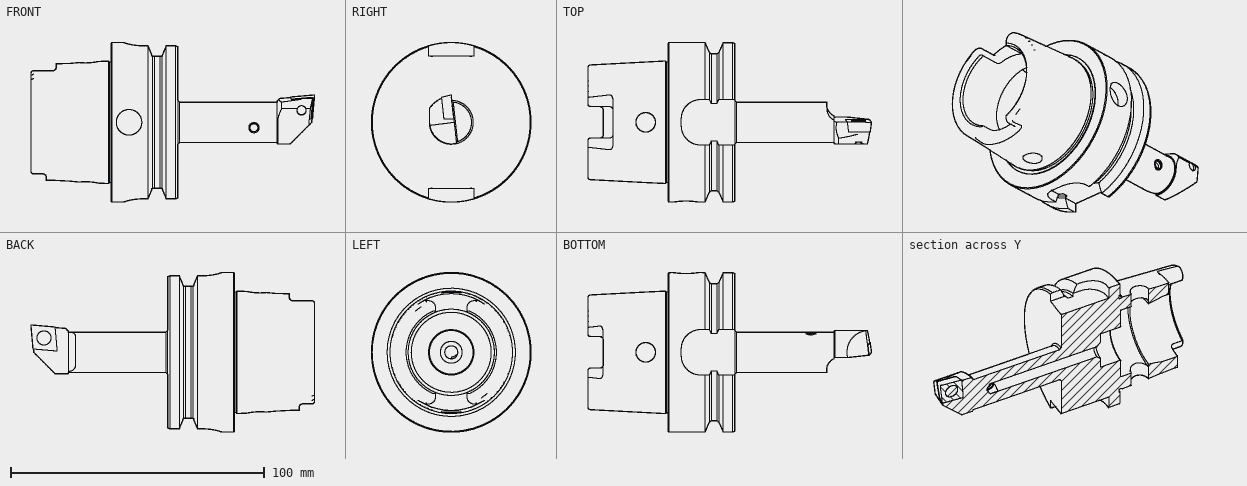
import cadquery as cq
import math


TAPER_TIP_RADIUS = 22.6
TAPER_ROOT_RADIUS = 24.2
TAPER_LENGTH = 29.7
ROOT_BAND_END_X = 30.7
TIP_ROUNDING = 1.1
UNDERCUT_DEPTH = 0.3
UNDERCUT_RADIUS = TAPER_ROOT_RADIUS - UNDERCUT_DEPTH
FACE_RECESS_RADIUS = 25.3
FACE_RECESS_DEPTH = 0.3

FLANGE_X = 31.7
FLANGE_END_X = 58.0
FLANGE_RADIUS = 31.5
FLANGE_FRONT_CHAMFER = 0.3
FLANGE_BACK_CHAMFER_LENGTH = 0.9
FLANGE_BACK_CHAMFER_DEPTH = 0.3
GROOVE_FRONT_X = 46.2
GROOVE_BACK_X = 53.4
GROOVE_FLANK_RADIUS = 27.6
GROOVE_RADIUS = 27.1
GROOVE_FLANK_LENGTH = 1.7
GROOVE_CORNER_LENGTH = 0.8

BAR_RADIUS = 8.0
BAR_ROOT_CHAMFER = 0.7

BORE_RADIUS = 17.0
BORE_MOUTH_CHAMFER = 0.8
BORE_CYLINDER_END_X = 12.5
CLAMP_GROOVE_RADIUS = 17.3
LIP_RADIUS = 15.8
LIP_X = 19.0
CAVITY_FLOOR_X = 31.3
COUPLING_RADIUS = 8.6
COUPLING_CHAMFER = 0.3
COUPLING_DEPTH = 9.0
COOLANT_MOUTH_RADIUS = 4.31
COOLANT_RADIUS = 2.6
COOLANT_END_X = 89.5
DRILL_POINT_RATIO = 0.6

SLOT_HALF_WIDTH = 6.2
SLOT_SHOULDER_Z = 20.4
SLOT_SHOULDER_ROUNDING = 2.9
SLOT_SHOULDER_HALF_WIDTH = 13.4
SLOT_OUTER_Z = 28.0
SLOT_FLOOR_ROUNDING = 1.3
TOP_SLOT_DEPTH = 10.0
BOTTOM_SLOT_DEPTH = 6.0

CROSS_HOLE_X = 22.8
CROSS_HOLE_RADIUS = 3.8
CHIP_HOLE_X = 38.7
CHIP_HOLE_RADIUS = 5.0
CHIP_HOLE_DEPTH = 4.9
KEYWAY_X = 36.8
KEYWAY_HALF_WIDTH = 9.0
KEYWAY_CORNER_RADIUS = 7.6
KEYWAY_FLOOR_Z = 26.1

HEAD_X = 97.1
HEAD_RADIUS = 8.6
HEAD_START_RADIUS = 8.4
HEAD_CROWN_RADIUS = 10.2
HEAD_SETBACK = 0.2
NOSE_DIAGONAL = 110.8
CHIP_POCKET_X = 94.2
CHIP_POCKET_RADIUS = 5.0

OVERALL_LENGTH = 111.9
TIP_Z = 10.9
RAKE_TILT = 6.3
CLEARANCE = 7.0
INSERT_SIDE = 9.6
INSERT_THICKNESS = 3.9
NOSE_RADIUS = 0.3
INSERT_HALF_ANGLE = 40.0
EDGE_LEAN = 45 - INSERT_HALF_ANGLE
TIP_X = OVERALL_LENGTH + NOSE_RADIUS * (math.sqrt(0.5) / math.sin(math.radians(INSERT_HALF_ANGLE)) - 1)

SCREW_RADIUS = 1.8
SCREW_HEAD_RADIUS = 2.8
SCREW_HEAD_HEIGHT = 1.7
SCREW_LENGTH = 8.1
SCREW_HEAD_SINK = 0.2

NOZZLE_X = 88.0
NOZZLE_Z = -2.1
NOZZLE_RADIUS = 2.0
NOZZLE_BORE_RADIUS = 1.6
NOZZLE_OUTER_Y = -7.4
NOZZLE_LENGTH = 3.4
BALL_SINK = 0.2

tilt = math.radians(RAKE_TILT)
lean = math.radians(EDGE_LEAN)
rake = cq.Plane(
    origin=(TIP_X, 0, TIP_Z),
    xDir=(1, 0, 0),
    normal=(0, -math.cos(tilt), -math.sin(tilt)),
)


def revolve_about_x(points):
    """Solid of revolution from (x, radius) points; the outline closes along the axis."""
    outline = [(points[0][0], 0)] + points
    if points[-1][1] > 0:
        outline.append((points[-1][0], 0))
    return cq.Workplane("XY").polyline(outline).close().revolve(360, (0, 0, 0), (1, 0, 0))


def y_cylinder(x, y, z, radius, length):
    """Cylinder starting at the given point and running toward +Y."""
    return cq.Workplane(cq.Plane((x, y, z), (1, 0, 0), (0, 1, 0))).circle(radius).extrude(length)


def rhombus_wedge(side, depth, setback=0.0):
    """Rhombus on the rake face with one corner near the tip, narrowing with depth."""
    run = side * math.cos(lean)
    drop = side * math.sin(lean)
    corners = [
        (-setback, -setback),
        (-setback - run, -setback - drop),
        (-setback - run - drop, -setback - drop - run),
        (-setback - drop, -setback - run),
    ]
    return cq.Workplane(rake).polyline(corners).close().extrude(depth, taper=CLEARANCE)


def make_outer_form():
    """Taper shank and flange, with the drive slots cut and the shank tip rounded."""
    shank = revolve_about_x([
        (0, TAPER_TIP_RADIUS),
        (TAPER_LENGTH, TAPER_ROOT_RADIUS),
        (ROOT_BAND_END_X, TAPER_ROOT_RADIUS),
        (ROOT_BAND_END_X + UNDERCUT_DEPTH, UNDERCUT_RADIUS),
        (FLANGE_X + FACE_RECESS_DEPTH, UNDERCUT_RADIUS),
    ])
    groove_front = GROOVE_FRONT_X + GROOVE_FLANK_LENGTH
    groove_back = GROOVE_BACK_X - GROOVE_FLANK_LENGTH
    flange = revolve_about_x([
        (FLANGE_X + FACE_RECESS_DEPTH, FACE_RECESS_RADIUS),
        (FLANGE_X, FACE_RECESS_RADIUS),
        (FLANGE_X, FLANGE_RADIUS - FLANGE_FRONT_CHAMFER),
        (FLANGE_X + FLANGE_FRONT_CHAMFER, FLANGE_RADIUS),
        (GROOVE_FRONT_X, FLANGE_RADIUS),
        (groove_front, GROOVE_FLANK_RADIUS),
        (groove_front + GROOVE_CORNER_LENGTH, GROOVE_RADIUS),
        (groove_back - GROOVE_CORNER_LENGTH, GROOVE_RADIUS),
        (groove_back, GROOVE_FLANK_RADIUS),
        (GROOVE_BACK_X, FLANGE_RADIUS),
        (FLANGE_END_X - FLANGE_BACK_CHAMFER_LENGTH, FLANGE_RADIUS),
        (FLANGE_END_X, FLANGE_RADIUS - FLANGE_BACK_CHAMFER_DEPTH),
    ])
    blank = shank.union(flange)
    blank = blank.cut(make_drive_slot(TOP_SLOT_DEPTH))
    blank = blank.cut(make_drive_slot(BOTTOM_SLOT_DEPTH).rotate((0, 0, 0), (1, 0, 0), 180))
    return blank.faces("<X").edges().fillet(TIP_ROUNDING)


def make_bar():
    return revolve_about_x([
        (FLANGE_END_X, BAR_RADIUS + BAR_ROOT_CHAMFER),
        (FLANGE_END_X + BAR_ROOT_CHAMFER, BAR_RADIUS),
        (HEAD_X, BAR_RADIUS),
    ])


def make_cavity():
    """Shank bore with its clamping lip, coupling recess and drilled coolant passage."""
    coupling_floor_x = CAVITY_FLOOR_X + COUPLING_DEPTH
    coolant_x = coupling_floor_x + COOLANT_MOUTH_RADIUS - COOLANT_RADIUS
    return revolve_about_x([
        (0, BORE_RADIUS + BORE_MOUTH_CHAMFER),
        (BORE_MOUTH_CHAMFER, BORE_RADIUS),
        (BORE_CYLINDER_END_X, BORE_RADIUS),
        (LIP_X, LIP_RADIUS),
        (LIP_X, CLAMP_GROOVE_RADIUS),
        (CAVITY_FLOOR_X, CLAMP_GROOVE_RADIUS),
        (CAVITY_FLOOR_X, COUPLING_RADIUS + COUPLING_CHAMFER),
        (CAVITY_FLOOR_X + COUPLING_CHAMFER, COUPLING_RADIUS),
        (coupling_floor_x, COUPLING_RADIUS),
        (coupling_floor_x, COOLANT_MOUTH_RADIUS),
        (coolant_x, COOLANT_RADIUS),
        (COOLANT_END_X, COOLANT_RADIUS),
        (COOLANT_END_X + COOLANT_RADIUS * DRILL_POINT_RATIO, 0),
    ])


def make_drive_slot(depth):
    """Slot cutter on the +Z side; its walls flare into shoulders with rounded lug corners."""
    lug_z = SLOT_SHOULDER_Z - SLOT_SHOULDER_ROUNDING
    lug_y = SLOT_HALF_WIDTH + SLOT_SHOULDER_ROUNDING
    diagonal = SLOT_SHOULDER_ROUNDING * math.sqrt(0.5)
    middle_z = lug_z + diagonal
    middle_y = lug_y - diagonal
    cutter = (
        cq.Workplane("YZ")
        .moveTo(-SLOT_HALF_WIDTH, 0)
        .lineTo(SLOT_HALF_WIDTH, 0)
        .lineTo(SLOT_HALF_WIDTH, lug_z)
        .threePointArc((middle_y, middle_z), (lug_y, SLOT_SHOULDER_Z))
        .lineTo(SLOT_SHOULDER_HALF_WIDTH, SLOT_SHOULDER_Z)
        .lineTo(SLOT_SHOULDER_HALF_WIDTH, SLOT_OUTER_Z)
        .lineTo(-SLOT_SHOULDER_HALF_WIDTH, SLOT_OUTER_Z)
        .lineTo(-SLOT_SHOULDER_HALF_WIDTH, SLOT_SHOULDER_Z)
        .lineTo(-lug_y, SLOT_SHOULDER_Z)
        .threePointArc((-middle_y, middle_z), (-SLOT_HALF_WIDTH, lug_z))
        .close()
        .extrude(depth)
    )
    return cutter.faces(">X").edges("not(<Z or >Z)").fillet(SLOT_FLOOR_ROUNDING)


def make_keyway():
    """Flat-bottomed keyway cutter on the +Z side, open at the back of the flange."""
    length = FLANGE_END_X - KEYWAY_X
    return (
        cq.Workplane("XY", origin=(0, 0, KEYWAY_FLOOR_Z))
        .center(KEYWAY_X + length / 2, 0)
        .rect(length, 2 * KEYWAY_HALF_WIDTH)
        .extrude(FLANGE_RADIUS)
        .edges("|Z and <X")
        .fillet(KEYWAY_CORNER_RADIUS)
    )


def make_head():
    """Cutting head before its insert seat: a bar section swept along X and bevelled all round."""
    side_z = math.sqrt(HEAD_CROWN_RADIUS**2 - HEAD_RADIUS**2)
    section = (
        cq.Workplane("YZ", origin=(HEAD_X, 0, 0))
        .moveTo(-HEAD_RADIUS, 0)
        .lineTo(-HEAD_RADIUS, side_z)
        .threePointArc((0, HEAD_CROWN_RADIUS), (HEAD_RADIUS, side_z))
        .lineTo(HEAD_RADIUS, 0)
        .threePointArc((0, -HEAD_RADIUS), (-HEAD_RADIUS, 0))
        .close()
        .extrude(TIP_X - HEAD_X)
    )
    growth = TIP_X - HEAD_X
    start_cone = revolve_about_x([(HEAD_X, HEAD_START_RADIUS), (TIP_X, HEAD_START_RADIUS + growth)])
    reach = 4 * HEAD_RADIUS
    clearance_form = rhombus_wedge(reach, reach / 2, HEAD_SETBACK)
    bevel = (
        cq.Workplane("XZ", origin=(0, reach, 0))
        .polyline([
            (NOSE_DIAGONAL - reach, -reach),
            (NOSE_DIAGONAL + reach, reach),
            (NOSE_DIAGONAL + reach, -reach),
        ])
        .close()
        .extrude(2 * reach)
    )
    return section.intersect(start_cone).intersect(clearance_form).cut(bevel)


def make_chip_pocket():
    """Clears everything in front of the rake face, with a rounded run-out into the bar."""
    reach = 4 * HEAD_RADIUS
    start = CHIP_POCKET_X - TIP_X
    return (
        cq.Workplane(rake)
        .center(start + reach / 2, 0)
        .rect(reach, 2 * reach)
        .extrude(-reach)
        .edges(cq.selectors.NearestToPointSelector((CHIP_POCKET_X, 0, TIP_Z)))
        .fillet(CHIP_POCKET_RADIUS)
    )


def insert_middle():
    """Middle of the insert on the rake face, in rake frame coordinates."""
    offset = INSERT_SIDE * (math.cos(lean) + math.sin(lean)) / 2
    return (-offset, -offset, 0)


def make_insert_screw():
    """Countersunk screw square to the rake face, through the middle of the insert."""
    start = rake.toWorldCoords(insert_middle()) + rake.zDir * SCREW_HEAD_SINK
    head = cq.Solid.makeCone(SCREW_HEAD_RADIUS, SCREW_RADIUS, SCREW_HEAD_HEIGHT, start, rake.zDir)
    stem = cq.Solid.makeCylinder(SCREW_RADIUS, SCREW_LENGTH, start, rake.zDir)
    return cq.Workplane(head).union(cq.Workplane(stem))


def make_screw_hole():
    """Clearance for the screw: countersunk from the rake face and right through the head."""
    start = rake.toWorldCoords(insert_middle())
    sunk = start + rake.zDir * SCREW_HEAD_SINK
    mouth = cq.Solid.makeCylinder(SCREW_HEAD_RADIUS, SCREW_HEAD_SINK, start, rake.zDir)
    countersink = cq.Solid.makeCone(SCREW_HEAD_RADIUS, SCREW_RADIUS, SCREW_HEAD_HEIGHT, sunk, rake.zDir)
    through = cq.Solid.makeCylinder(SCREW_RADIUS, 2 * SCREW_LENGTH, start, rake.zDir)
    return cq.Workplane(mouth).union(cq.Workplane(countersink)).union(cq.Workplane(through))


def make_insert_blank():
    """Insert without its screw hole, with all four corners rounded."""
    corner_edges = cq.selectors.InverseSelector(cq.selectors.PerpendicularDirSelector(rake.zDir))
    return rhombus_wedge(INSERT_SIDE, INSERT_THICKNESS).edges(corner_edges).fillet(NOSE_RADIUS)


def make_holder(insert_blank):
    """Shank, flange, bar and head in one piece, with every hole and seat cut."""
    holder = make_outer_form().union(make_bar()).union(make_head())
    holder = holder.cut(make_cavity())
    keyway = make_keyway()
    holder = holder.cut(keyway).cut(keyway.rotate((0, 0, 0), (1, 0, 0), 180))
    cross_hole = cq.Workplane("XY", origin=(CROSS_HOLE_X, 0, -FLANGE_RADIUS))
    holder = holder.cut(cross_hole.circle(CROSS_HOLE_RADIUS).extrude(2 * FLANGE_RADIUS))
    holder = holder.cut(y_cylinder(CHIP_HOLE_X, -FLANGE_RADIUS, 0, CHIP_HOLE_RADIUS, CHIP_HOLE_DEPTH))
    holder = holder.cut(y_cylinder(NOZZLE_X, -BAR_RADIUS, NOZZLE_Z, NOZZLE_RADIUS, BAR_RADIUS))
    return holder.cut(make_chip_pocket()).cut(insert_blank).cut(make_screw_hole())


def make_nozzle_sleeve():
    outer = y_cylinder(NOZZLE_X, NOZZLE_OUTER_Y, NOZZLE_Z, NOZZLE_RADIUS, NOZZLE_LENGTH)
    return outer.cut(y_cylinder(NOZZLE_X, NOZZLE_OUTER_Y, NOZZLE_Z, NOZZLE_BORE_RADIUS, NOZZLE_LENGTH))


def make_nozzle_ball():
    center_y = NOZZLE_OUTER_Y + BALL_SINK + NOZZLE_BORE_RADIUS
    ball = cq.Workplane("XY").sphere(NOZZLE_BORE_RADIUS)
    return ball.translate((NOZZLE_X, center_y, NOZZLE_Z))


insert_blank = make_insert_blank()
insert = insert_blank.cut(make_screw_hole())
insert_screw = make_insert_screw()
holder = make_holder(insert_blank)
nozzle_sleeve = make_nozzle_sleeve()
nozzle_ball = make_nozzle_ball()

result = cq.Compound.makeCompound([
    holder.val(),
    insert.val(),
    insert_screw.val(),
    nozzle_sleeve.val(),
    nozzle_ball.val(),
])